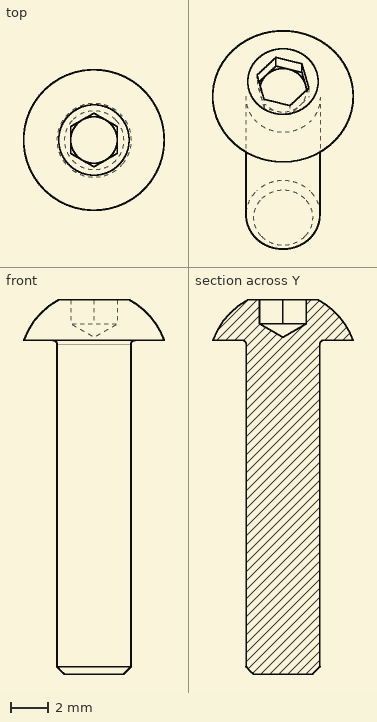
import cadquery as cq
import math

total_length = 20.2
head_height = 2.2
head_radius = 7.6 / 2
head_top_radius = 3.8 / 2
shank_radius = 4.0 / 2
tip_chamfer = 0.4
neck_fillet = 0.2
socket_across_flats = 2.5
socket_depth = 1.3
socket_cone_angle = 120.0

shank_length = total_length - head_height

dome_centre_z = (
    head_top_radius**2 + head_height**2 - head_radius**2
) / (2 * head_height)
dome_radius = math.hypot(head_radius, dome_centre_z)
rim_angle = math.atan2(-dome_centre_z, head_radius)
top_angle = math.atan2(head_height - dome_centre_z, head_top_radius)
middle_angle = (rim_angle + top_angle) / 2
dome_middle = (
    dome_radius * math.cos(middle_angle),
    dome_centre_z + dome_radius * math.sin(middle_angle),
)


def make_body():
    """Head, neck fillet, shank and tip chamfer as one revolved half profile."""
    neck_radius = shank_radius + neck_fillet
    return (
        cq.Workplane("XZ")
        .moveTo(0, -shank_length)
        .lineTo(shank_radius - tip_chamfer, -shank_length)
        .lineTo(shank_radius, -shank_length + tip_chamfer)
        .lineTo(shank_radius, -neck_fillet)
        .radiusArc((neck_radius, 0), neck_fillet)
        .lineTo(head_radius, 0)
        .threePointArc(dome_middle, (head_top_radius, head_height))
        .lineTo(0, head_height)
        .close()
        .revolve(360, (0, 0), (0, 1))
    )


def make_socket():
    """Hexagon with corners on the Y axis, plus a conical drilled bottom."""
    floor_z = head_height - socket_depth
    drill_radius = socket_across_flats / 2
    cone_depth = drill_radius / math.tan(math.radians(socket_cone_angle / 2))
    hexagon = (
        cq.Workplane("XY", origin=(0, 0, floor_z))
        .polygon(6, socket_across_flats, circumscribed=True)
        .extrude(socket_depth)
    )
    cone = (
        cq.Workplane("XZ")
        .polyline([(0, floor_z), (drill_radius, floor_z), (0, floor_z - cone_depth)])
        .close()
        .revolve(360, (0, 0), (0, 1))
    )
    return hexagon.union(cone)


result = make_body().cut(make_socket())